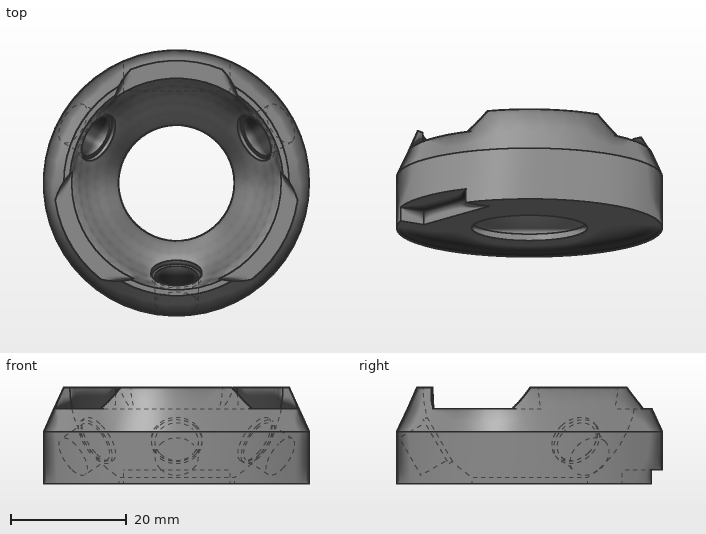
import cadquery as cq
import math

BODY_DIAMETER = 46.0
BASE_HEIGHT = 9.0
LEDGE_HEIGHT = 13.0
TOTAL_HEIGHT = 16.7
RIM_TOP_RADIUS = 19.5

BOWL_RADIUS = 18.5
BOWL_CENTER_HEIGHT = TOTAL_HEIGHT
BOTTOM_HOLE_DIAMETER = 20.0

SCALLOP_ANGLES = (90, 210, 330)
SCALLOP_RADIUS = 11.0
SCALLOP_CENTER_DISTANCE = 12.0

SOCKET_ANGLES = (30, 150, 270)
SOCKET_TILT = 30.0
SOCKET_DIAMETER = 7.5
SOCKET_DEPTH = 23.9
COUNTERBORE_DIAMETER = 8.8
COUNTERBORE_DEPTH = 18.75

NOTCH_WIDTH = 18.4
NOTCH_HEIGHT = 2.4
NOTCH_INNER_Y = 16.0


def make_body():
    """Revolve the cylindrical base together with its tapered rim."""
    body_radius = BODY_DIAMETER / 2
    return (
        cq.Workplane("XZ")
        .lineTo(body_radius, 0)
        .lineTo(body_radius, BASE_HEIGHT)
        .lineTo(RIM_TOP_RADIUS, TOTAL_HEIGHT)
        .lineTo(0, TOTAL_HEIGHT)
        .close()
        .revolve(360, (0, 0, 0), (0, 1, 0))
    )


def make_scallop_cutter(angle):
    """Upright cylinder above the ledge, centred away from the axis at the given angle."""
    return (
        cq.Workplane("XY")
        .workplane(offset=LEDGE_HEIGHT)
        .center(SCALLOP_CENTER_DISTANCE, 0)
        .circle(SCALLOP_RADIUS)
        .extrude(TOTAL_HEIGHT - LEDGE_HEIGHT)
        .rotate((0, 0, 0), (0, 0, 1), angle)
    )


def make_bowl_cutter():
    """Sphere of the bowl joined to the round bottom opening."""
    sphere = cq.Workplane("XY").sphere(BOWL_RADIUS).translate((0, 0, BOWL_CENTER_HEIGHT))
    opening = cq.Workplane("XY").circle(BOTTOM_HOLE_DIAMETER / 2).extrude(BOWL_CENTER_HEIGHT)
    return sphere.union(opening)


def make_socket_cutter(angle):
    """Stepped cylinder pointing outward and down from the bowl centre at the given angle."""
    tilt = math.radians(SOCKET_TILT)
    turn = math.radians(angle)
    center = cq.Vector(0, 0, BOWL_CENTER_HEIGHT)
    direction = cq.Vector(
        math.cos(tilt) * math.cos(turn),
        math.cos(tilt) * math.sin(turn),
        -math.sin(tilt),
    )
    bore = cq.Solid.makeCylinder(SOCKET_DIAMETER / 2, SOCKET_DEPTH, center, direction)
    counterbore = cq.Solid.makeCylinder(COUNTERBORE_DIAMETER / 2, COUNTERBORE_DEPTH, center, direction)
    return cq.Workplane(bore).union(cq.Workplane(counterbore))


def make_notch_cutter():
    """Block that opens the bottom edge on the +Y side."""
    notch_length = BODY_DIAMETER / 2 - NOTCH_INNER_Y
    return (
        cq.Workplane("XY")
        .box(NOTCH_WIDTH, notch_length, NOTCH_HEIGHT, centered=(True, False, False))
        .translate((0, NOTCH_INNER_Y, 0))
    )


result = make_body().cut(make_bowl_cutter()).cut(make_notch_cutter())
for scallop_angle in SCALLOP_ANGLES:
    result = result.cut(make_scallop_cutter(scallop_angle))
for socket_angle in SOCKET_ANGLES:
    result = result.cut(make_socket_cutter(socket_angle))